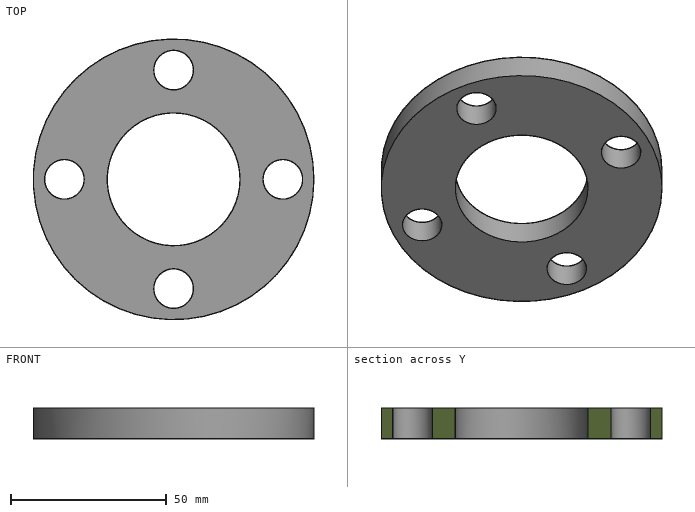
import cadquery as cq

outer_diameter = 90.0
thickness = 10.0
bore_diameter = 42.5
bolt_circle_diameter = 70.0
bolt_hole_diameter = 12.6
bolt_hole_count = 4

ring = (
    cq.Workplane("XY")
    .circle(outer_diameter / 2)
    .circle(bore_diameter / 2)
    .extrude(thickness)
)

result = (
    ring.faces(">Z")
    .workplane(origin=(0, 0, thickness))
    .polarArray(bolt_circle_diameter / 2, 0, 360, bolt_hole_count)
    .hole(bolt_hole_diameter)
)